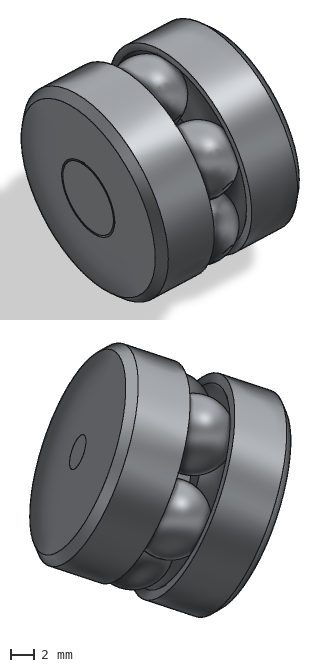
import cadquery as cq
import math

total_length = 15.87
disc_gap = 4.23
disc_chamfer = 0.8
front_disc_diameter = 20.65
rear_disc_diameter = 20.29

ball_count = 5
ball_diameter = 7.15
ball_pitch_radius = 6.52
first_ball_angle = 36.0

pin_diameter = 3.18
clearance_bore_diameter = 3.43
head_diameter = 7.16
pin_clearance = (clearance_bore_diameter - pin_diameter) / 2
countersink_diameter = head_diameter + 2 * pin_clearance * math.sqrt(2)

front_face_y = -total_length / 2
rear_face_y = total_length / 2
disc_thickness = (total_length - disc_gap) / 2


def revolve_about_y(profile):
    """Turn a closed profile, drawn as (radius, y), into a solid around the Y axis."""
    return profile.close().revolve(360, (0, 0, 0), (0, 1, 0))


def make_groove_ring():
    """Ring swept by a ball rolling around the Y axis."""
    return (
        cq.Workplane("XY")
        .center(ball_pitch_radius, 0)
        .circle(ball_diameter / 2)
        .revolve(360, (-ball_pitch_radius, 0, 0), (-ball_pitch_radius, 1, 0))
    )


def make_disc(diameter, bore_diameter, outer_face_y, inward):
    """Bored disc with a chamfered outer face and a ball groove in its inner face.

    inward is the sign of the Y direction from the outer face to the balls.
    """
    radius = diameter / 2
    bore_radius = bore_diameter / 2
    chamfer_end_y = outer_face_y + inward * disc_chamfer
    inner_face_y = outer_face_y + inward * disc_thickness
    blank = revolve_about_y(
        cq.Workplane("XY")
        .moveTo(bore_radius, outer_face_y)
        .lineTo(radius - disc_chamfer, outer_face_y)
        .lineTo(radius, chamfer_end_y)
        .lineTo(radius, inner_face_y)
        .lineTo(bore_radius, inner_face_y)
    )
    return blank.cut(make_groove_ring())


def make_cone(base_diameter, base_y):
    """45 degree cone that narrows to a point in the +Y direction."""
    base_radius = base_diameter / 2
    return revolve_about_y(
        cq.Workplane("XY")
        .moveTo(0, base_y)
        .lineTo(base_radius, base_y)
        .lineTo(0, base_y + base_radius)
    )


def make_front_disc():
    """Larger disc, loose on the pin, with a countersink for the pin head."""
    disc = make_disc(front_disc_diameter, clearance_bore_diameter, front_face_y, 1)
    return disc.cut(make_cone(countersink_diameter, front_face_y))


def make_rear_disc():
    """Smaller disc, which fits tightly on the pin."""
    return make_disc(rear_disc_diameter, pin_diameter, rear_face_y, -1)


def make_pin():
    """Shank with a 45 degree countersunk head, level with both outer faces."""
    pin_radius = pin_diameter / 2
    head_radius = head_diameter / 2
    return revolve_about_y(
        cq.Workplane("XY")
        .moveTo(0, front_face_y)
        .lineTo(head_radius, front_face_y)
        .lineTo(pin_radius, front_face_y + head_radius - pin_radius)
        .lineTo(pin_radius, rear_face_y)
        .lineTo(0, rear_face_y)
    )


def make_ball(angle_degrees):
    """Ball on the pitch circle, at an angle measured from +X towards +Z."""
    angle = math.radians(angle_degrees)
    center = (ball_pitch_radius * math.cos(angle), 0, ball_pitch_radius * math.sin(angle))
    return cq.Workplane("XY").sphere(ball_diameter / 2).translate(center)


front_disc = make_front_disc()
rear_disc = make_rear_disc()
pin = make_pin()
balls = [make_ball(first_ball_angle + i * 360 / ball_count) for i in range(ball_count)]

result = cq.Compound.makeCompound(
    [front_disc.val(), rear_disc.val(), pin.val(), *[ball.val() for ball in balls]]
)